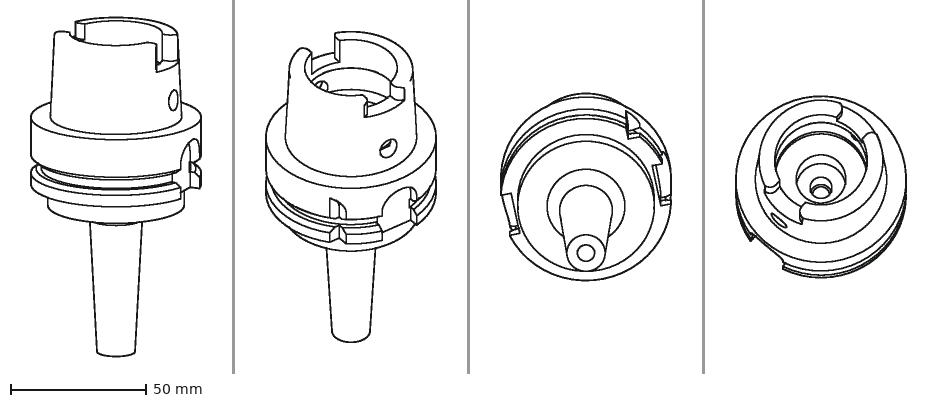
import cadquery as cq

total_height = 122.0
flange_top = 89.9
groove_top = 73.9
groove_bottom = 70.2
groove_bevel_height = 1.6
flange_bottom = 64.2
collar_bottom = 56.1
neck_bottom = 51.0

tip_radius = 7.1
shank_radius = 9.8
neck_radius = 14.4
collar_radius = 25.3
groove_radius = 27.6
groove_lip_radius = 29.5
flange_radius = 31.5
taper_base_radius = 24.3
taper_top_radius = 22.8
rim_fillet = 1.2

mouth_radius = 17.1
undercut_top = 109.0
undercut_radius = 20.1
undercut_bevel_height = 2.5
undercut_bottom = 96.6
socket_floor = 90.3
well_radius = 9.2
well_floor = 75.6
coolant_entry_radius = 4.0
coolant_entry_floor = 63.5
coolant_radius = 3.2

rim_slot_width = 12.6
rim_slot_corner = 2.9
left_rim_slot_floor = 116.0
right_rim_slot_floor = 112.0

cross_hole_radius = 3.8
cross_hole_height = 99.2

keyway_width = 15.9
keyway_top = 85.0
keyway_floor_x = 26.6
notch_width = 13.4
notch_side_y = 19.9
notch_floor_x = 20.0


def make_body():
    """Revolve the outer profile about Z."""
    profile = [
        (0, 0),
        (tip_radius, 0),
        (shank_radius, neck_bottom),
        (neck_radius, collar_bottom),
        (collar_radius, collar_bottom),
        (collar_radius, flange_bottom),
        (flange_radius, flange_bottom),
        (flange_radius, groove_bottom - groove_bevel_height),
        (groove_lip_radius, groove_bottom),
        (groove_radius, groove_bottom),
        (groove_radius, groove_top),
        (groove_lip_radius, groove_top),
        (flange_radius, groove_top + groove_bevel_height),
        (flange_radius, flange_top),
        (taper_base_radius, flange_top),
        (taper_top_radius, total_height),
        (0, total_height),
    ]
    return cq.Workplane("XZ").polyline(profile).close().revolve(360, (0, 0), (0, 1))


def make_bore():
    """Revolve the stepped bore, undercut behind its mouth."""
    profile = [
        (0, 0),
        (coolant_radius, 0),
        (coolant_radius, coolant_entry_floor),
        (coolant_entry_radius, coolant_entry_floor),
        (coolant_entry_radius, well_floor),
        (well_radius, well_floor),
        (well_radius, socket_floor),
        (mouth_radius, socket_floor),
        (mouth_radius, undercut_bottom - undercut_bevel_height),
        (undercut_radius, undercut_bottom),
        (undercut_radius, undercut_top - undercut_bevel_height),
        (mouth_radius, undercut_top),
        (mouth_radius, total_height),
        (0, total_height),
    ]
    return cq.Workplane("XZ").polyline(profile).close().revolve(360, (0, 0), (0, 1))


def rim_slot(side, floor):
    """Slot in the rim, flared by rounded corners at the outer surface; side is -1 or +1 along X."""
    half_width = rim_slot_width / 2
    flared_half_width = half_width + rim_slot_corner
    outer_x = (taper_top_radius**2 - flared_half_width**2) ** 0.5
    corner_x = outer_x - rim_slot_corner
    arc_offset = rim_slot_corner * 0.5**0.5
    return (
        cq.Workplane("XY")
        .workplane(offset=floor)
        .moveTo(0, -half_width)
        .lineTo(side * corner_x, -half_width)
        .threePointArc(
            (side * (corner_x + arc_offset), -flared_half_width + arc_offset),
            (side * outer_x, -flared_half_width),
        )
        .lineTo(side * flange_radius, -flared_half_width)
        .lineTo(side * flange_radius, flared_half_width)
        .lineTo(side * outer_x, flared_half_width)
        .threePointArc(
            (side * (corner_x + arc_offset), flared_half_width - arc_offset),
            (side * corner_x, half_width),
        )
        .lineTo(0, half_width)
        .close()
        .extrude(total_height - floor)
    )


def round_topped_cut(width, center_y, floor_x):
    """Cutter along +X from floor_x outwards, open at the flange underside and with a round top."""
    radius = width / 2
    spring_height = keyway_top - radius
    return (
        cq.Workplane("YZ")
        .workplane(offset=floor_x)
        .moveTo(center_y - radius, flange_bottom)
        .lineTo(center_y - radius, spring_height)
        .threePointArc((center_y, keyway_top), (center_y + radius, spring_height))
        .lineTo(center_y + radius, flange_bottom)
        .close()
        .extrude(flange_radius)
    )


body = make_body().faces(">Z").edges().fillet(rim_fillet)
body = body.cut(make_bore())

body = body.cut(rim_slot(-1, left_rim_slot_floor))
body = body.cut(rim_slot(1, right_rim_slot_floor))

cross_hole = (
    cq.Workplane("YZ")
    .center(0, cross_hole_height)
    .circle(cross_hole_radius)
    .extrude(flange_radius, both=True)
)
body = body.cut(cross_hole)

keyway = round_topped_cut(keyway_width, 0, keyway_floor_x)
body = body.cut(keyway).cut(keyway.mirror("YZ"))

notch = round_topped_cut(notch_width, notch_side_y + notch_width / 2, notch_floor_x)
result = body.cut(notch.mirror("YZ"))